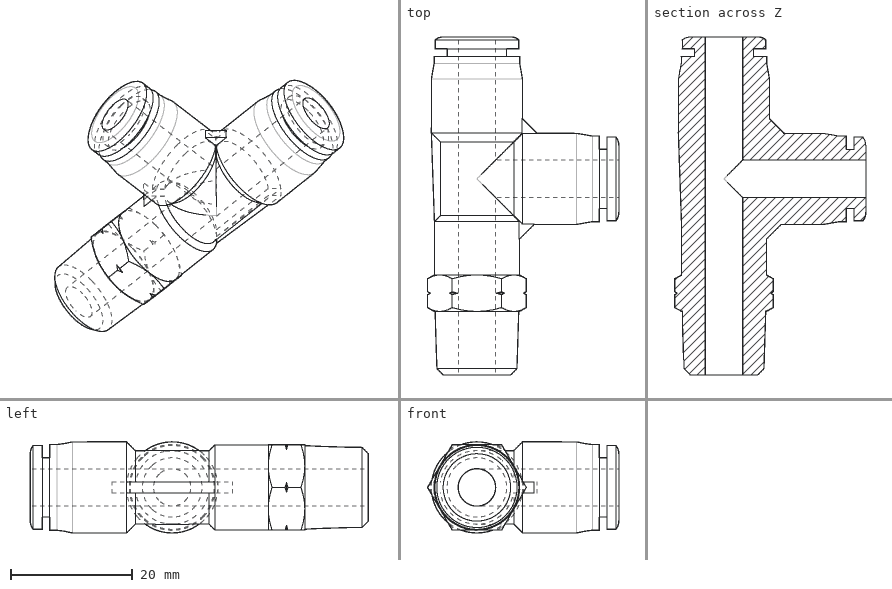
import cadquery as cq
import math


overall_length = 55.65

bore_radius = 3.05
waist_radius = 6.05
port_radius = 7.5
shank_radius = 7.0
collar_radius = 7.05
neck_radius = 4.9
button_radius = 6.9
button_face_radius = 5.5
button_crown_radius = 2.1

port_end = 23.4
button_crown_start = 22.85
button_start = 21.35
neck_start = 20.15
collar_start = 19.0
port_taper_start = 16.4

thread_end = overall_length - port_end
hex_start = 15.8
hex_length = 6.0
thread_start = hex_start + hex_length
thread_top_radius = 6.9
thread_chamfer = 1.05
thread_taper = 1 / 32

hex_flats = 14.1
hex_corner_radius = hex_flats / math.sqrt(3)
hex_chamfer_angle = 30
hex_groove_depth = 0.42

web_thickness = 1.85
gusset_leg = 2.4


def push_in_port():
    """Waist, shoulder, sleeve and release button of one port, reaching towards +Y."""
    return (
        cq.Workplane("XY")
        .lineTo(waist_radius, 0)
        .lineTo(waist_radius, waist_radius)
        .lineTo(port_radius, port_radius)
        .lineTo(port_radius, port_taper_start)
        .lineTo(collar_radius, collar_start)
        .lineTo(collar_radius, neck_start)
        .lineTo(neck_radius, neck_start)
        .lineTo(neck_radius, button_start)
        .lineTo(button_radius, button_start)
        .lineTo(button_radius, button_crown_start)
        .radiusArc((button_face_radius, port_end), -button_crown_radius)
        .lineTo(0, port_end)
        .close()
        .revolve(360, (0, 0, 0), (0, 1, 0))
    )


def threaded_end():
    """Waist, shank and tapered thread body, reaching towards -Y."""
    chamfer_start = thread_end - thread_chamfer
    thread_tip_radius = thread_top_radius - (chamfer_start - thread_start) * thread_taper
    return (
        cq.Workplane("XY")
        .lineTo(waist_radius, 0)
        .lineTo(waist_radius, -waist_radius)
        .lineTo(shank_radius, -shank_radius)
        .lineTo(shank_radius, -thread_start)
        .lineTo(thread_top_radius, -thread_start)
        .lineTo(thread_tip_radius, -chamfer_start)
        .lineTo(thread_tip_radius - thread_chamfer, -thread_end)
        .lineTo(0, -thread_end)
        .close()
        .revolve(360, (0, 0, 0), (0, 1, 0))
    )


def hexagon():
    """Hexagon with corners on +X and -X, chamfered at both ends and grooved round its middle."""
    prism = (
        cq.Workplane("XZ", origin=(0, -hex_start, 0))
        .polygon(6, 2 * hex_corner_radius)
        .extrude(hex_length)
    )
    slope = math.tan(math.radians(hex_chamfer_angle))
    end_radius = hex_flats / 2
    chamfer_height = (hex_corner_radius - end_radius) * slope
    groove_half_width = hex_groove_depth * slope
    hex_middle = hex_start + hex_length / 2
    envelope = (
        cq.Workplane("XY")
        .moveTo(0, -hex_start)
        .lineTo(end_radius, -hex_start)
        .lineTo(hex_corner_radius, -hex_start - chamfer_height)
        .lineTo(hex_corner_radius, -hex_middle + groove_half_width)
        .lineTo(hex_corner_radius - hex_groove_depth, -hex_middle)
        .lineTo(hex_corner_radius, -hex_middle - groove_half_width)
        .lineTo(hex_corner_radius, -thread_start + chamfer_height)
        .lineTo(end_radius, -thread_start)
        .lineTo(0, -thread_start)
        .close()
        .revolve(360, (0, 0, 0), (0, 1, 0))
    )
    return prism.intersect(envelope)


def web():
    """Flat web on the XY plane: fills the waist on the back and makes a gusset in each inner corner."""
    return (
        cq.Workplane("XY", origin=(0, 0, -web_thickness / 2))
        .polyline([
            (-port_radius, port_radius),
            (0, port_radius + gusset_leg),
            (port_radius, port_radius + gusset_leg),
            (port_radius + gusset_leg, port_radius),
            (shank_radius + gusset_leg, -port_radius),
            (shank_radius, -port_radius - gusset_leg),
            (0, -port_radius - gusset_leg),
            (-shank_radius, -shank_radius),
        ])
        .close()
        .extrude(web_thickness)
    )


def bore(plane, start, length):
    """Round passage from one end of the run or the branch."""
    return cq.Workplane(plane).workplane(offset=start).circle(bore_radius).extrude(length)


run_port = push_in_port()
branch_port = run_port.rotate((0, 0, 0), (0, 0, 1), -90)
body = run_port.union(branch_port).union(threaded_end()).union(hexagon()).union(web())
run_bore = bore("XZ", -port_end, port_end + thread_end)
branch_bore = bore("YZ", 0, port_end)
result = body.cut(run_bore).cut(branch_bore)